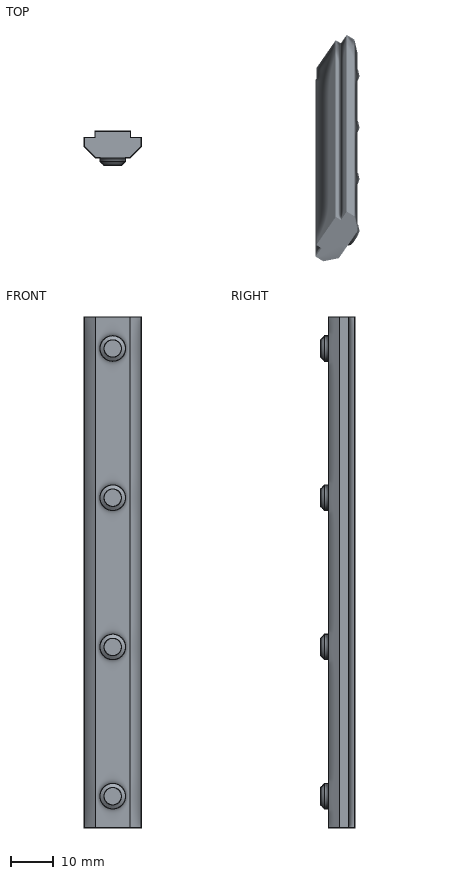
import cadquery as cq

rail_length = 120
rail_width = 13.5
rail_depth = 6.2
front_width = 8.2
bevel = (rail_width - front_width) / 2
tongue_width = 8.4
tongue_height = 1.5

screw_count = 4
screw_spacing = 35.0
screw_diameter = 6
tip_diameter = 4.1
tip_reach = 1.8
cone_length = 1.0

first_screw_z = (rail_length - (screw_count - 1) * screw_spacing) / 2
screw_heights = [first_screw_z + i * screw_spacing for i in range(screw_count)]
fixed_heights = [screw_heights[0], screw_heights[-1]]
loose_heights = screw_heights[1:-1]


def make_screw(z):
    """Screw along Y, flush with the back of the rail, with a conical flat-ended tip."""
    radius = screw_diameter / 2
    half_section = [
        (0, rail_depth),
        (radius, rail_depth),
        (radius, cone_length - tip_reach),
        (tip_diameter / 2, -tip_reach),
        (0, -tip_reach),
    ]
    return (
        cq.Workplane("XY", origin=(0, 0, z))
        .polyline(half_section)
        .close()
        .revolve(360, (0, 0, 0), (0, 1, 0))
    )


def make_rail_bar():
    """T-slot bar with a bevelled front and a narrower tongue along the back."""
    shoulder_y = rail_depth - tongue_height
    half_section = [
        (0, 0),
        (front_width / 2, 0),
        (rail_width / 2, bevel),
        (rail_width / 2, shoulder_y),
        (tongue_width / 2, shoulder_y),
        (tongue_width / 2, rail_depth),
        (0, rail_depth),
    ]
    return cq.Workplane("XY").polyline(half_section).mirrorY().extrude(rail_length)


def make_screw_hole(z):
    """Cutter for a through hole along Y that fits the screw shank."""
    return cq.Workplane("XZ", origin=(0, 0, z)).circle(screw_diameter / 2).extrude(-rail_depth)


def make_rail():
    """Bar with a fixed stud near each end and a hole for each loose screw."""
    body = make_rail_bar()
    for z in fixed_heights:
        body = body.union(make_screw(z))
    for z in loose_heights:
        body = body.cut(make_screw_hole(z))
    return body


rail = make_rail()
screws = [make_screw(z) for z in loose_heights]

result = cq.Compound.makeCompound([rail.solids().val(), *[screw.val() for screw in screws]])